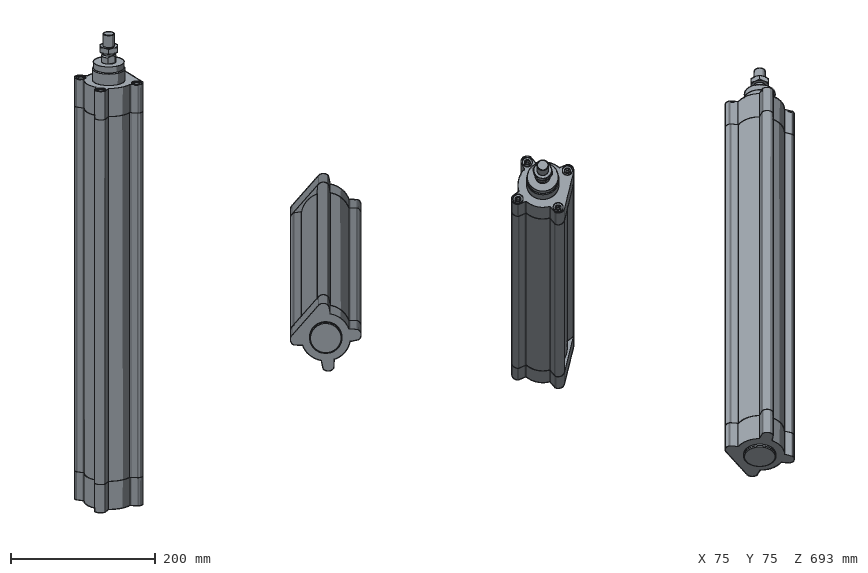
import cadquery as cq
import math

rear_cap_bottom = 4.0
cap_length = 41.5
rear_cap_top = rear_cap_bottom + cap_length
front_cap_top = 624.5
front_cap_bottom = front_cap_top - cap_length
collar_step = 642.5
collar_top = 651.5
shank_top = 662.5
rod_tip = 693.0

overall_width = 75.0
pillar_spacing = 57.0
pillar_offset = pillar_spacing / 2
nose_step = 0.15
cap_nose_radius = overall_width / 2 - pillar_offset
barrel_nose_radius = cap_nose_radius - nose_step
nose_fillet = 3.0
cap_diameter = 68.5
barrel_diameter = 68.0
pillar_root_width = 18.0
cap_pillar_tip_width = 15.0
barrel_pillar_tip_width = 16.0

collar_diameter = 45.0
collar_chamfer = 1.5
collar_neck_diameter = collar_diameter - 2 * collar_chamfer
collar_top_diameter = 43.0
boss_chamfer = 1.5

screw_bore_diameter = 14.0
screw_bore_depth = 1.5
thread_bore_diameter = 8.0
thread_bore_depth = 5.5
pilot_bore_diameter = 4.45
pilot_bore_depth = 14.0

rod_diameter = 20.0
thread_diameter = 16.0
flat_width = 16.5
tip_chamfer = 1.0
shank_chamfer = (rod_diameter - thread_diameter) / 2

nut_width = 24.0
nut_height = 8.0
nut_bottom = 667.0
nut_top = nut_bottom + nut_height
nut_chamfer_height = 1.05
nut_chamfer_depth = 1.7


def disc(diameter, bottom, top):
    return cq.Workplane("XY").workplane(offset=bottom).circle(diameter / 2).extrude(top - bottom)


def pillar(nose_radius, tip_width, bottom, top):
    """Corner rib along +X that narrows outward and ends in a round nose."""
    centre = pillar_offset * math.sqrt(2)
    half_tip = tip_width / 2
    tip_x = centre + math.sqrt(nose_radius**2 - half_tip**2)
    outline = (
        cq.Workplane("XY")
        .workplane(offset=bottom)
        .moveTo(0, -pillar_root_width / 2)
        .lineTo(cap_diameter / 2, -pillar_root_width / 2)
        .lineTo(tip_x, -half_tip)
        .threePointArc((centre + nose_radius, 0), (tip_x, half_tip))
        .lineTo(cap_diameter / 2, pillar_root_width / 2)
        .lineTo(0, pillar_root_width / 2)
        .close()
    )
    nose_corners = cq.selectors.BoxSelector(
        (tip_x - nose_fillet, -overall_width, bottom), (tip_x + nose_fillet, overall_width, top)
    )
    return outline.extrude(top - bottom).edges("|Z").edges(nose_corners).fillet(nose_fillet)


def ribbed_section(diameter, nose_radius, tip_width, bottom, top):
    """Round body with a rib on each of its four corners."""
    section = disc(diameter, bottom, top)
    rib = pillar(nose_radius, tip_width, bottom, top)
    for corner in range(4):
        section = section.union(rib.rotate((0, 0, 0), (0, 0, 1), 45 + 90 * corner))
    return section


def cap(bottom, top):
    """End cap: a ribbed section with a flat face on its +Y side."""
    flat_side = cq.Workplane("XY").box(
        pillar_spacing, overall_width / 2, top - bottom, centered=(True, False, False)
    )
    flat_side = flat_side.translate((0, 0, bottom))
    return ribbed_section(cap_diameter, cap_nose_radius, cap_pillar_tip_width, bottom, top).union(flat_side)


def collar():
    """Round guide on the front cap, stepped in above a chamfer, its neck flaring slightly upward."""
    taper = (
        cq.Workplane("XY")
        .workplane(offset=collar_step)
        .circle(collar_neck_diameter / 2)
        .workplane(offset=collar_top - collar_step)
        .circle(collar_top_diameter / 2)
        .loft()
    )
    guide = disc(collar_diameter, front_cap_top, collar_step).faces(">Z").chamfer(collar_chamfer)
    return guide.union(taper)


def screw_hole():
    """Stepped blind hole, cut down from the front cap face."""
    top = front_cap_top
    hole = disc(screw_bore_diameter, top - screw_bore_depth, top)
    hole = hole.union(disc(thread_bore_diameter, top - thread_bore_depth, top))
    return hole.union(disc(pilot_bore_diameter, top - pilot_bore_depth, top))


def make_housing():
    body = cap(rear_cap_bottom, rear_cap_top)
    body = body.union(
        ribbed_section(
            barrel_diameter, barrel_nose_radius, barrel_pillar_tip_width, rear_cap_top, front_cap_bottom
        )
    )
    body = body.union(cap(front_cap_bottom, front_cap_top))
    rear_boss = disc(collar_diameter, 0, rear_cap_bottom).faces("<Z").chamfer(boss_chamfer)
    body = body.union(rear_boss)
    body = body.union(collar())
    for x in (-pillar_offset, pillar_offset):
        for y in (-pillar_offset, pillar_offset):
            body = body.cut(screw_hole().translate((x, y, 0)))
    return body.cut(disc(rod_diameter, front_cap_bottom, collar_top))


def make_rod():
    shank = disc(rod_diameter, front_cap_bottom, shank_top).faces(">Z").chamfer(shank_chamfer)
    flats = cq.Workplane("XY").box(
        flat_width, rod_diameter, shank_top - collar_top, centered=(True, True, False)
    )
    exposed = shank.intersect(flats.translate((0, 0, collar_top)))
    guided = disc(rod_diameter, front_cap_bottom, collar_top)
    thread = disc(thread_diameter, shank_top, rod_tip).faces(">Z").chamfer(tip_chamfer)
    return guided.union(exposed).union(thread)


def make_nut():
    """Hexagon nut with two corners on the Y axis."""
    corner_diameter = nut_width / math.cos(math.pi / 6)
    hexagon = cq.Workplane("XY").polygon(6, corner_diameter).extrude(nut_height)
    hexagon = hexagon.rotate((0, 0, 0), (0, 0, 1), 90).translate((0, 0, nut_bottom))
    rounding = disc(corner_diameter, nut_bottom, nut_top)
    rounding = rounding.faces("<Z or >Z").chamfer(nut_chamfer_height, nut_chamfer_depth)
    return hexagon.intersect(rounding).cut(disc(thread_diameter, nut_bottom, nut_top))


housing = make_housing()
rod = make_rod()
nut = make_nut()

result = cq.Compound.makeCompound([housing.val(), rod.val(), nut.val()])